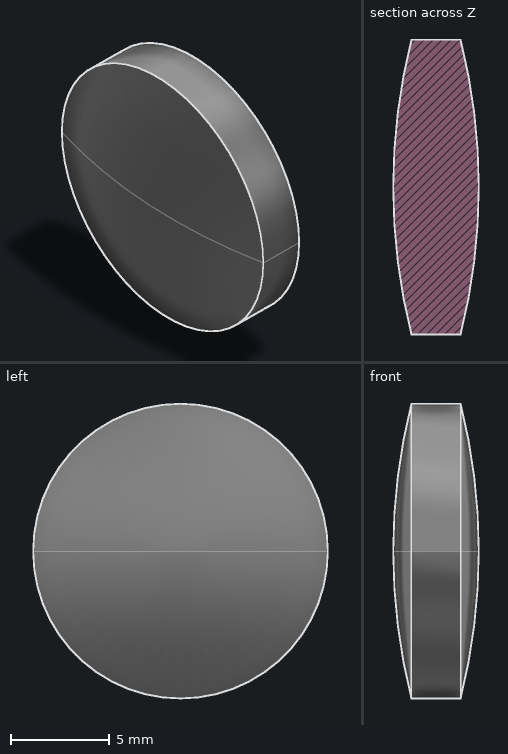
import cadquery as cq

diameter = 15.0
center_thickness = 4.36
edge_thickness = 2.5

radius = diameter / 2
half_center = center_thickness / 2
half_edge = edge_thickness / 2

dome_height = half_center - half_edge
sphere_radius = (radius**2 + dome_height**2) / (2 * dome_height)

mid_radius = radius / 2
mid_x = half_center - sphere_radius + (sphere_radius**2 - mid_radius**2) ** 0.5

half_section = (
    cq.Workplane("XY")
    .moveTo(-half_center, 0)
    .threePointArc((-mid_x, mid_radius), (-half_edge, radius))
    .lineTo(half_edge, radius)
    .threePointArc((mid_x, mid_radius), (half_center, 0))
    .close()
)

upper_half = half_section.revolve(180, (0, 0, 0), (1, 0, 0))
result = upper_half.union(upper_half.mirror("XY"), clean=False)